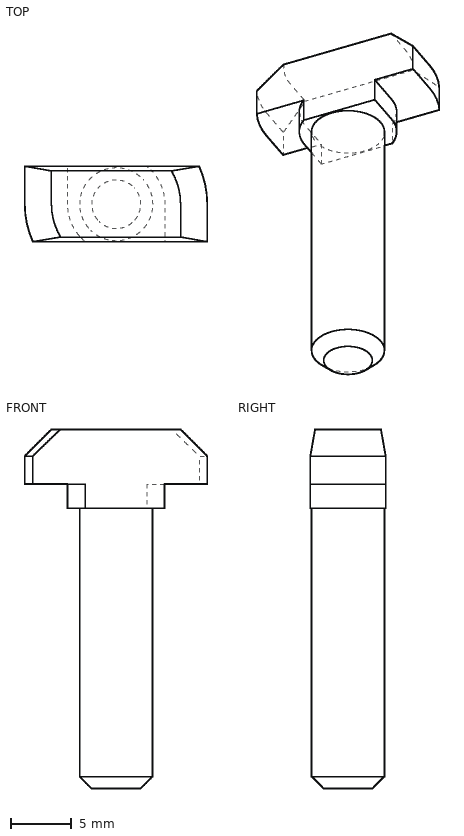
import cadquery as cq
import math

total_height = 29.5
head_length = 15.0
head_width = 6.2

head_side_height = 2.3
bevel_height = 2.2
end_bevel_angle = 45.0
side_bevel_angle = 10.0

neck_length = 8.0
neck_height = 2.0

shank_diameter = 6.0
tip_chamfer = 1.0

bevel_base_z = total_height - bevel_height
head_base_z = bevel_base_z - head_side_height
neck_base_z = head_base_z - neck_height


def bevelled_half_profile(half_size, base_z, bevel_z, top_z, bevel_angle):
    """Right half of a section: vertical side, then sloping inward to the top."""
    inset = (top_z - bevel_z) * math.tan(math.radians(bevel_angle))
    return [
        (0, base_z),
        (half_size, base_z),
        (half_size, bevel_z),
        (half_size - inset, top_z),
        (0, top_z),
    ]


def quarter_turn_block(half_profile):
    """Two opposite quadrants rounded about Z, the other two left square.

    The rounded quadrants (-X -Y and +X +Y) let the block turn in its slot and
    the square ones stop it after a quarter turn.
    """
    half_length = max(x for x, z in half_profile)
    half_section = cq.Workplane("XZ").polyline(half_profile).close()
    block = half_section.revolve(360, (0, 0), (0, 1))
    stop = cq.Workplane("XZ").polyline(half_profile).close().extrude(half_length)
    for turn in (0, 180):
        block = block.union(stop.rotate((0, 0, 0), (0, 0, 1), turn))
    return block


def make_head():
    end_profile = bevelled_half_profile(
        head_length / 2, head_base_z, bevel_base_z, total_height, end_bevel_angle
    )
    side_profile = bevelled_half_profile(
        head_width / 2, head_base_z, bevel_base_z, total_height, side_bevel_angle
    )
    mirrored_side = [(-y, z) for y, z in reversed(side_profile[1:-1])]
    side_limits = (
        cq.Workplane("YZ")
        .polyline(side_profile[1:-1] + mirrored_side)
        .close()
        .extrude(head_length / 2, both=True)
    )
    return quarter_turn_block(end_profile).intersect(side_limits)


def make_neck():
    half_length = neck_length / 2
    profile = [
        (0, neck_base_z),
        (half_length, neck_base_z),
        (half_length, head_base_z),
        (0, head_base_z),
    ]
    side_limits = cq.Workplane("XY").box(neck_length, head_width, 2 * total_height)
    return quarter_turn_block(profile).intersect(side_limits)


def make_shank():
    return (
        cq.Workplane("XY")
        .circle(shank_diameter / 2)
        .extrude(neck_base_z)
        .faces("<Z")
        .chamfer(tip_chamfer)
    )


result = make_head().union(make_neck()).union(make_shank()).clean()